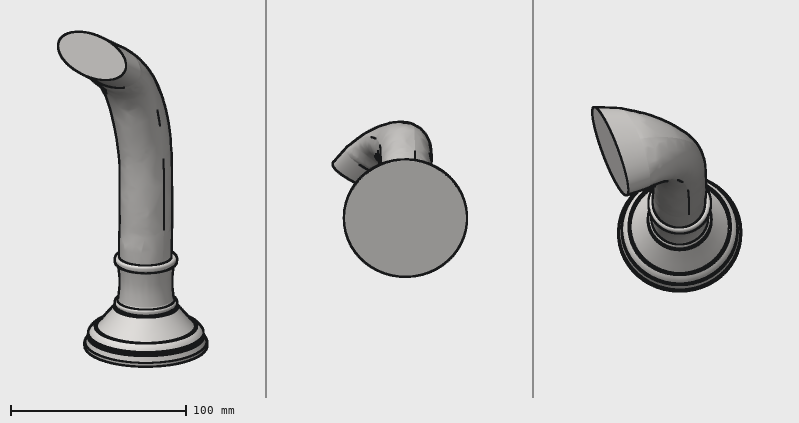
import cadquery as cq
import math

base_radius = 35.2
rim_height = 2.4
rim_rounding = 0.5
flare_top_radius = 33.2
flare_top_z = 6.0
groove_radius = 32.8
groove_top_z = 7.2
shoulder_radius = 33.0
shoulder_start_z = 8.3
shoulder_mid = (31.6, 10.3)
shoulder_end = (29.2, 12.1)
cone_foot_radius = 28.0
cone_top_radius = 18.3
cone_top_z = 23.8

bead_radius = 17.9
bead_root_radius = 16.3
bead_band_height = 0.8
neck_end_radius = 15.9
waist_radius = 15.1
lower_bead_bottom_z = 24.2
lower_bead_top_z = 28.0
upper_bead_bottom_z = 50.0
upper_bead_top_z = 54.5
neck_bottom_z = 29.0
neck_top_z = 48.9

stem_radius = 15.1
stem_start_z = 51.7
stem_ring_heights = (stem_start_z, 71.5)

spout_sections = (
    ((15.1, 88.6), (-15.1, 81.5), 15.1),
    ((15.0, 107.0), (-15.1, 95.8), 15.1),
    ((14.0, 125.6), (-15.3, 111.3), 15.3),
    ((4.4, 157.6), (-18.5, 137.1), 17.5),
    ((-6.5, 174.1), (-22.5, 153.6), 20.5),
    ((-15.7, 183.5), (-27.6, 160.8), 22.9),
    ((-23.8, 189.2), (-32.8, 166.5), 25.2),
    ((-39.2, 198.8), (-45.5, 174.9), 28.0),
)


def add_bead(profile, bottom_z, top_z):
    """Continue the profile upward around a bead: two arcs joined by a narrow band."""
    arc_height = (top_z - bottom_z - bead_band_height) / 2
    arc_radius = max(arc_height, bead_radius - bead_root_radius)
    return (
        profile.lineTo(bead_root_radius, bottom_z)
        .radiusArc((bead_radius, bottom_z + arc_height), -arc_radius)
        .lineTo(bead_radius, top_z - arc_height)
        .radiusArc((bead_root_radius, top_z), -arc_radius)
    )


def make_base_and_collar():
    """Revolve the stepped base, the two beads and the neck about Z."""
    neck_mid_z = (neck_bottom_z + neck_top_z) / 2
    profile = (
        cq.Workplane("XZ")
        .lineTo(base_radius - rim_rounding, 0)
        .radiusArc((base_radius, rim_rounding), -rim_rounding)
        .lineTo(base_radius, rim_height - rim_rounding)
        .radiusArc((base_radius - rim_rounding, rim_height), -rim_rounding)
        .lineTo(flare_top_radius, flare_top_z)
        .lineTo(groove_radius, flare_top_z)
        .lineTo(groove_radius, groove_top_z)
        .lineTo(shoulder_radius, groove_top_z)
        .lineTo(shoulder_radius, shoulder_start_z)
        .threePointArc(shoulder_mid, shoulder_end)
        .lineTo(cone_foot_radius, shoulder_end[1])
        .lineTo(cone_top_radius, cone_top_z)
    )
    profile = add_bead(profile, lower_bead_bottom_z, lower_bead_top_z)
    profile = (
        profile
        .lineTo(neck_end_radius, neck_bottom_z)
        .threePointArc((waist_radius, neck_mid_z), (neck_end_radius, neck_top_z))
    )
    profile = add_bead(profile, upper_bead_bottom_z, upper_bead_top_z)
    profile = profile.lineTo(0, upper_bead_top_z).close()
    return profile.revolve(360, (0, 0, 0), (0, 1, 0))


def section_wire(back, front, half_width):
    """Ellipse in the tilted plane through the back and front points."""
    dy = back[0] - front[0]
    dz = back[1] - front[1]
    depth = math.hypot(dy, dz)
    center = cq.Vector(0, (back[0] + front[0]) / 2, (back[1] + front[1]) / 2)
    plane = cq.Plane(origin=center, xDir=(1, 0, 0), normal=(0, -dz, dy))
    return cq.Workplane(plane).ellipse(half_width, depth / 2).wires().val()


def make_spout():
    """Loft the stem and bend smoothly, then end with a straight-sided outlet."""
    rings = [
        section_wire((stem_radius, z), (-stem_radius, z), stem_radius)
        for z in stem_ring_heights
    ]
    rings += [section_wire(*section) for section in spout_sections]
    bend = cq.Solid.makeLoft(rings[:-1])
    outlet = cq.Solid.makeLoft(rings[-2:], True)
    return cq.Workplane(bend).union(cq.Workplane(outlet))


result = make_base_and_collar().union(make_spout())